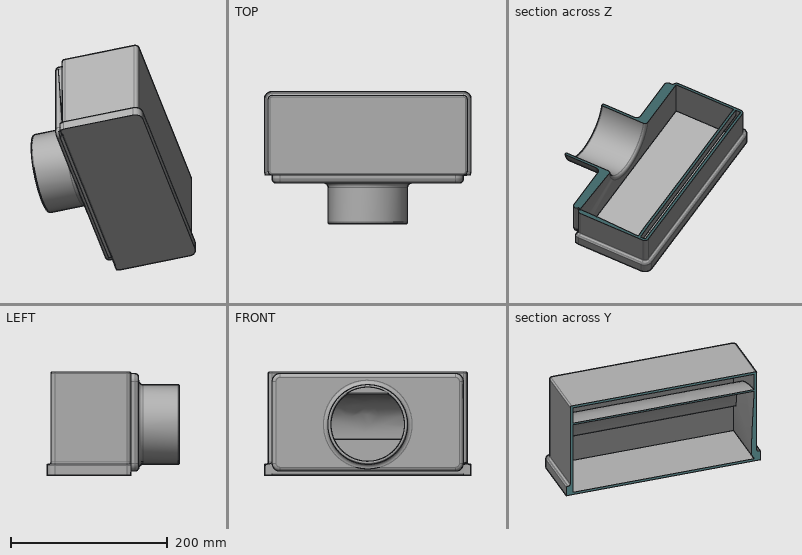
import cadquery as cq


box_width = 254.0
box_depth = 102.0
box_height = 132.0
box_corner_radius = 5.0
box_top_radius = 2.0
wall = 4.0

flange_overhang = 5.0
flange_height = 14.2
flange_corner_radius = 10.0
flange_edge_radius = 1.5
flange_front_taper_depth = 5.0
flange_front_taper_width = 1.2
flange_cove_radius = 2.5
front_foot_radius = 1.6

flange_width = box_width + 2 * flange_overhang
flange_depth = box_depth + flange_overhang

pad_width = box_width - 2 * box_corner_radius
pad_bottom = 5.2
pad_top = 129.95
pad_thickness = 10.0
pad_corner_radius = 10.0
pad_edge_radius = 5.0

pad_face_y = -pad_thickness

tube_radius = 101.8 / 2
tube_wall = 4.0
tube_length = 52.0
tube_z = 64.8
flare_radius = 5.7
bore_inlet_radius = 4.1

bore_radius = tube_radius - tube_wall
rim_radius = tube_wall / 2
mouth_y = pad_face_y - tube_length
join_y = wall / 2

deflector_thickness = 4.0
deflector_top_z = 103.5
deflector_bottom_z = 45.5
deflector_front_setback = 0.3
deflector_back_gap = 6.0
lip_radius = 1.9
tip_radius = 1.2

deflector_front_y = mouth_y + deflector_front_setback
deflector_back_y = box_depth - wall - deflector_back_gap

margin = 0.1


def block(width, y_front, y_back, z_bottom, z_top):
    """Box centred on X = 0 between the given Y and Z limits."""
    depth = y_back - y_front
    height = z_top - z_bottom
    solid = cq.Workplane("XY").box(width, depth, height, centered=(True, False, False))
    return solid.translate((0, y_front, z_bottom))


def tube_axis_cylinder(radius, y_front, y_back):
    """Cylinder along Y on the axis of the tube."""
    plane = cq.Workplane("XZ", origin=(0, y_back, tube_z))
    return plane.circle(radius).extrude(y_back - y_front)


def box_with_flange():
    """Solid box with rounded edges on its spreading foot flange."""
    box = block(box_width, 0, box_depth, 0, box_height)
    box = box.edges("|Z").fillet(box_corner_radius)
    box = box.faces(">Z").edges().fillet(box_top_radius)

    half_width = flange_width / 2
    tapered_half_width = half_width - flange_front_taper_width
    flange = (
        cq.Workplane("XY")
        .moveTo(-tapered_half_width, 0)
        .lineTo(tapered_half_width, 0)
        .lineTo(half_width, flange_front_taper_depth)
        .lineTo(half_width, flange_depth)
        .lineTo(-half_width, flange_depth)
        .lineTo(-half_width, flange_front_taper_depth)
        .close()
        .extrude(flange_height)
    )
    flange = flange.edges("|Z and >Y").fillet(flange_corner_radius)
    rounded_edges = cq.selectors.BoxSelector(
        (-flange_width, margin, flange_height - margin),
        (flange_width, flange_depth + margin, flange_height + margin),
    )
    flange = flange.edges(rounded_edges).fillet(flange_edge_radius)
    body = box.union(flange)

    foot_edges = cq.selectors.BoxSelector(
        (-box_width / 2 - margin, -margin, flange_height - margin),
        (box_width / 2 + margin, box_depth + margin, flange_height + margin),
        boundingbox=True,
    )
    return body.edges(foot_edges).fillet(flange_cove_radius)


def front_foot_rounding():
    """Material outside the rounded bottom edge of the front wall."""
    r = front_foot_radius
    profile = (
        cq.Workplane("YZ", origin=(-pad_width / 2, 0, 0))
        .moveTo(0, r)
        .radiusArc((r, 0), -r)
        .lineTo(0, 0)
        .close()
    )
    return profile.extrude(pad_width)


def front_pad():
    """Shallow raised panel with rounded outline and front edge."""
    pad = block(pad_width, pad_face_y, join_y, pad_bottom, pad_top)
    pad = pad.edges("|Y").fillet(pad_corner_radius)
    return pad.faces("<Y").edges().fillet(pad_edge_radius)


def revolved_about_tube_axis(profile):
    """Turn a profile drawn with X as radius about the axis of the tube."""
    return profile.revolve(360, (0, 0, 0), (0, 1, 0)).translate((0, 0, tube_z))


def tube_with_flare():
    """Tube with a fully round rim and a concave flare onto the pad."""
    flare_rim = tube_radius + flare_radius
    profile = (
        cq.Workplane("XY")
        .moveTo(bore_radius, join_y)
        .lineTo(flare_rim, join_y)
        .lineTo(flare_rim, pad_face_y)
        .radiusArc((tube_radius, pad_face_y - flare_radius), -flare_radius)
        .lineTo(tube_radius, mouth_y + rim_radius)
        .threePointArc((tube_radius - rim_radius, mouth_y), (bore_radius, mouth_y + rim_radius))
        .close()
    )
    return revolved_about_tube_axis(profile)


def bore():
    """Opening through the pad and the front wall, rounded where it enters the box."""
    inlet_rim = bore_radius + bore_inlet_radius
    profile = (
        cq.Workplane("XY")
        .moveTo(0, mouth_y)
        .lineTo(bore_radius, mouth_y)
        .lineTo(bore_radius, wall - bore_inlet_radius)
        .radiusArc((inlet_rim, wall), bore_inlet_radius)
        .lineTo(0, wall)
        .close()
    )
    return revolved_about_tube_axis(profile)


def box_cavity():
    """Closed hollow of the box, one wall thickness inside every face."""
    return block(box_width - 2 * wall, wall, box_depth - wall, wall, box_height - wall)


def deflector():
    """Curved sheet across the duct, with an upright plate closing the tube mouth above it."""
    t = deflector_thickness
    bend_y = deflector_front_y + lip_radius
    underside_back_y = deflector_back_y - t
    backward = (1, 0)
    downward = (0, -1)
    upward = (0, 1)
    forward = (-1, 0)
    profile = (
        cq.Workplane("YZ", origin=(-box_width / 2, 0, 0))
        .moveTo(deflector_front_y, box_height)
        .lineTo(deflector_front_y, deflector_top_z + lip_radius)
        .radiusArc((bend_y, deflector_top_z), -lip_radius)
        .spline(
            [(underside_back_y, deflector_bottom_z + tip_radius)],
            tangents=[backward, downward],
            includeCurrent=True,
        )
        .radiusArc((underside_back_y + tip_radius, deflector_bottom_z), -tip_radius)
        .lineTo(deflector_back_y, deflector_bottom_z)
        .spline([(bend_y + t, deflector_top_z + t)], tangents=[upward, forward], includeCurrent=True)
        .lineTo(deflector_front_y + t, deflector_top_z + t)
        .lineTo(deflector_front_y + t, box_height)
        .close()
    )
    sheet = profile.extrude(box_width)
    duct = tube_axis_cylinder(bore_radius + rim_radius, mouth_y, wall)
    duct = duct.union(block(box_width - wall, wall, box_depth - wall, wall, box_height - wall))
    return sheet.intersect(duct)


result = box_with_flange().union(front_pad()).union(tube_with_flare())
result = result.cut(front_foot_rounding()).cut(box_cavity()).cut(bore())
result = result.union(deflector())